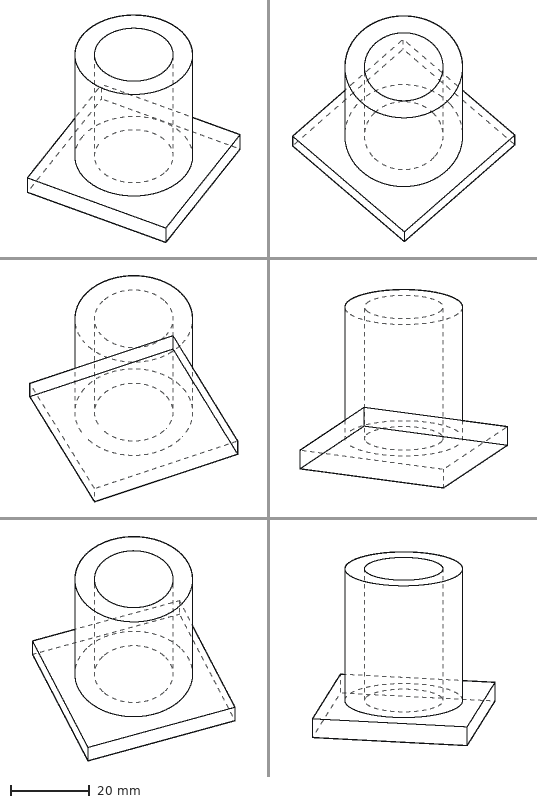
import cadquery as cq

plate_side = 40.0
plate_thickness = 5.0
total_height = 40.0
tube_outer_diameter = 30.0
tube_wall = 5.0

tube_height = total_height - plate_thickness
bore_diameter = tube_outer_diameter - 2 * tube_wall

plate = cq.Workplane("XY").box(plate_side, plate_side, plate_thickness, centered=(True, True, False))

tube = (
    cq.Workplane("XY")
    .workplane(offset=plate_thickness)
    .circle(tube_outer_diameter / 2)
    .circle(bore_diameter / 2)
    .extrude(tube_height)
)

result = plate.union(tube)